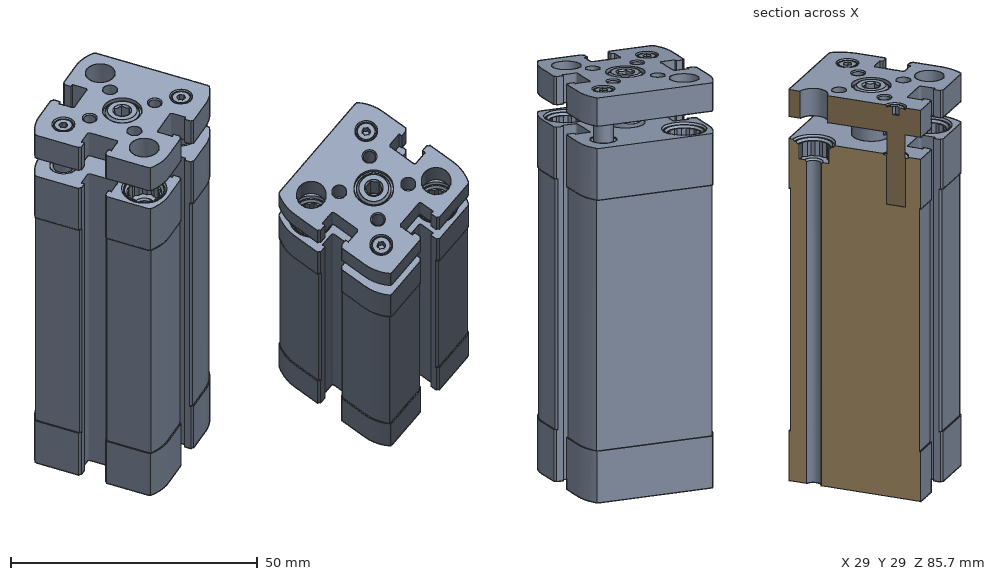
import cadquery as cq
import math


total_height = 85.7
cap_half_width = 14.5
yoke_thickness = 6.0
yoke_gap = 4.7
cap_height = 11.0
barrel_inset = 0.25
housing_height = total_height - yoke_thickness - yoke_gap
yoke_bottom = housing_height + yoke_gap

flank_half_length = 9.0
corner_bevel_start = 12.3
corner_bevel_width = 0.5
corner_bevel_depth = 0.13

slot_half_opening = 2.65
slot_half_undercut = 3.3
slot_floor = 9.25
slot_neck = 12.6
slot_mouth_radius = 0.4
slot_floor_radius = 0.4
slot_angles = [0, 90, -90]

rod_diameter = 8.0
rod_across_flats = 7.0
rod_flat_length = 3.7
rod_flat_runout = 0.25
rod_spigot_diameter = 7.0
rod_spigot_chamfer = 0.5
rod_groove_depth = 0.85
rod_socket_across_flats = 3.0
rod_socket_depth = 6.0
rod_socket_mouth_diameter = 3.8
rod_socket_turn = 0
drill_half_angle = math.radians(59)
rod_insertion = cap_height

corner_spacing = 9.0
guide_corners = [(corner_spacing, corner_spacing), (-corner_spacing, -corner_spacing)]
screw_corners = [(-corner_spacing, corner_spacing), (corner_spacing, -corner_spacing)]
pin_diameter = 4.1
pin_mouth_diameter = 4.6
pin_tip_diameter = 3.6
pin_end_sink = 0.2
pin_socket_turn = 15
pin_socket_across_flats = 1.5
pin_socket_depth = 1.7
pin_recess_diameter = 5.5
pin_recess_depth = 0.25

access_hole_diameter = 6.0
mount_hole_spacing = 5.0
dowel_hole_diameter = 3.0
threaded_hole_diameter = 2.5
threaded_hole_mouth_diameter = 3.0
dowel_holes = [(-mount_hole_spacing, mount_hole_spacing), (mount_hole_spacing, -mount_hole_spacing)]
threaded_holes = [(mount_hole_spacing, mount_hole_spacing), (-mount_hole_spacing, -mount_hole_spacing)]

pocket_mouth_diameter = 9.2
pocket_rim_diameter = 8.5
pocket_rim_depth = 0.4
socket_mouth_diameter = 8.0
socket_throat_diameter = 7.0
socket_across_flats = 6.0
socket_turns = [0, 30]
pocket_depth = 4.1
screw_hole_diameter = 3.25
screw_hole_mouth_diameter = 4.0


def disc(x, y, bottom, diameter, height):
    """Vertical cylinder."""
    return cq.Workplane("XY", origin=(x, y, bottom)).circle(diameter / 2).extrude(height)


def cone(x, y, top, top_diameter, bottom_diameter, depth):
    """Vertical cone or frustum, placed by its top."""
    solid = cq.Solid.makeCone(bottom_diameter / 2, top_diameter / 2, depth, pnt=cq.Vector(x, y, top - depth))
    return cq.Workplane(obj=solid)


def hex_socket(x, y, top, across_flats, depth, turn):
    """Hexagonal prism below its top, turned about its axis."""
    corner_diameter = across_flats / math.cos(math.pi / 6)
    prism = cq.Workplane("XY").polygon(6, corner_diameter).extrude(-depth)
    return prism.rotate((0, 0, 0), (0, 0, 1), turn).translate((x, y, top))


def outline_block(half_width, bottom, height):
    """Prism of the cross-section outline before the slots are cut."""
    flat = corner_bevel_start
    side = corner_bevel_start + corner_bevel_width
    shoulder = half_width - corner_bevel_depth
    run = half_width - side
    rise = shoulder - flank_half_length
    radius = (run**2 + rise**2) / (2 * run)
    outline = (
        cq.Workplane("XY", origin=(0, 0, bottom))
        .moveTo(-flat, half_width)
        .lineTo(flat, half_width)
        .lineTo(side, shoulder)
        .radiusArc((half_width, flank_half_length), radius)
        .lineTo(half_width, -flank_half_length)
        .radiusArc((side, -shoulder), radius)
        .lineTo(flat, -half_width)
        .lineTo(-flat, -half_width)
        .lineTo(-side, -shoulder)
        .radiusArc((-half_width, -flank_half_length), radius)
        .lineTo(-half_width, flank_half_length)
        .radiusArc((-side, shoulder), radius)
        .close()
    )
    return outline.extrude(height)


def slot_cutter(half_width, bottom, height):
    """T-slot open towards -Y, with a rounded mouth and rounded floor corners."""
    mouth = slot_half_opening + slot_mouth_radius
    neck_start = half_width - slot_mouth_radius
    floor_end = slot_half_undercut - slot_floor_radius
    corner = slot_floor + slot_floor_radius
    profile = (
        cq.Workplane("XY", origin=(0, 0, bottom))
        .moveTo(-mouth, -half_width)
        .radiusArc((-slot_half_opening, -neck_start), slot_mouth_radius)
        .lineTo(-slot_half_opening, -slot_neck)
        .lineTo(-slot_half_undercut, -slot_neck)
        .lineTo(-slot_half_undercut, -corner)
        .radiusArc((-floor_end, -slot_floor), slot_floor_radius)
        .lineTo(floor_end, -slot_floor)
        .radiusArc((slot_half_undercut, -corner), slot_floor_radius)
        .lineTo(slot_half_undercut, -slot_neck)
        .lineTo(slot_half_opening, -slot_neck)
        .lineTo(slot_half_opening, -neck_start)
        .radiusArc((mouth, -half_width), slot_mouth_radius)
        .close()
    )
    return profile.extrude(height)


def slotted_block(half_width, bottom, height):
    """Length of the slotted profile."""
    block = outline_block(half_width, bottom, height)
    cutter = slot_cutter(half_width, bottom, height)
    for angle in slot_angles:
        block = block.cut(cutter.rotate((0, 0, 0), (0, 0, 1), angle))
    return block


def cut_screw_pocket(housing, x, y):
    """Countersunk pocket with a twelve-point socket and a screw hole through to the base."""
    rim = housing_height - pocket_rim_depth
    floor = housing_height - pocket_depth
    throat_chamfer = (socket_mouth_diameter - socket_throat_diameter) / 2
    hole_chamfer = (screw_hole_mouth_diameter - screw_hole_diameter) / 2
    cutters = [
        cone(x, y, housing_height, pocket_mouth_diameter, pocket_rim_diameter, pocket_rim_depth),
        cone(x, y, rim, socket_mouth_diameter, socket_throat_diameter, throat_chamfer),
        cone(x, y, floor, screw_hole_mouth_diameter, screw_hole_diameter, hole_chamfer),
        disc(x, y, 0, screw_hole_diameter, housing_height),
    ]
    for turn in socket_turns:
        cutters.append(hex_socket(x, y, housing_height, socket_across_flats, pocket_depth, turn))
    for cutter in cutters:
        housing = housing.cut(cutter)
    return housing


def make_housing():
    """Barrel between two slightly wider end caps."""
    housing = slotted_block(cap_half_width, 0, cap_height)
    barrel_height = housing_height - 2 * cap_height
    housing = housing.union(slotted_block(cap_half_width - barrel_inset, cap_height, barrel_height))
    housing = housing.union(slotted_block(cap_half_width, housing_height - cap_height, cap_height))

    bore_bottom = housing_height - rod_insertion
    housing = housing.cut(disc(0, 0, bore_bottom, rod_diameter, rod_insertion))
    for x, y in guide_corners:
        housing = housing.cut(disc(x, y, bore_bottom, pin_diameter, rod_insertion))
        recess_bottom = housing_height - pin_recess_depth
        housing = housing.cut(disc(x, y, recess_bottom, pin_recess_diameter, pin_recess_depth))
    for x, y in screw_corners:
        housing = cut_screw_pocket(housing, x, y)
    return housing


def make_yoke():
    """Plate with access holes at two corners and four mounting holes."""
    yoke = slotted_block(cap_half_width, yoke_bottom, yoke_thickness)
    for x, y in screw_corners:
        yoke = yoke.cut(disc(x, y, yoke_bottom, access_hole_diameter, yoke_thickness))
    for x, y in dowel_holes:
        yoke = yoke.cut(disc(x, y, yoke_bottom, dowel_hole_diameter, yoke_thickness))
    chamfer = (threaded_hole_mouth_diameter - threaded_hole_diameter) / 2
    for x, y in threaded_holes:
        mouth = cone(
            x, y, total_height, threaded_hole_mouth_diameter, threaded_hole_diameter, chamfer
        )
        yoke = yoke.cut(disc(x, y, yoke_bottom, threaded_hole_diameter, yoke_thickness))
        yoke = yoke.cut(mouth)
    return yoke


def make_rod():
    """Piston rod below the yoke, with wrench flats facing -Y and +Y that run out on a slope."""
    rod = disc(0, 0, housing_height - rod_insertion, rod_diameter, rod_insertion + yoke_gap)
    half_flats = rod_across_flats / 2
    radius = rod_diameter / 2
    flat_bottom = yoke_bottom - rod_flat_length
    cutter = (
        cq.Workplane("YZ")
        .moveTo(half_flats, yoke_bottom)
        .lineTo(half_flats, flat_bottom)
        .lineTo(radius, flat_bottom - rod_flat_runout)
        .lineTo(radius, yoke_bottom)
        .close()
        .extrude(radius, both=True)
    )
    return rod.cut(cutter).cut(cutter.mirror("XZ"))


def cut_rod_end(body):
    """Groove around the chamfered rod spigot, and the hexagonal socket in its middle."""
    floor = total_height - rod_groove_depth
    spigot = disc(0, 0, floor, rod_spigot_diameter, rod_groove_depth)
    spigot = spigot.faces(">Z").chamfer(rod_spigot_chamfer)
    groove = disc(0, 0, floor, rod_diameter, rod_groove_depth).cut(spigot)
    chamfer = (rod_socket_mouth_diameter - rod_socket_across_flats) / 2
    body = body.cut(groove)
    body = body.cut(
        hex_socket(0, 0, total_height, rod_socket_across_flats, rod_socket_depth, rod_socket_turn)
    )
    body = body.cut(
        cone(0, 0, total_height, rod_socket_mouth_diameter, rod_socket_across_flats, chamfer)
    )
    drill_depth = rod_socket_across_flats / 2 / math.tan(drill_half_angle)
    socket_floor = total_height - rod_socket_depth
    return body.cut(cone(0, 0, socket_floor, rod_socket_across_flats, 0, drill_depth))


def cut_pin_end(body, x, y):
    """Chamfered pin end, slightly sunk in a countersink, with a small hexagonal socket."""
    tip_top = total_height - pin_end_sink
    chamfer = (pin_diameter - pin_tip_diameter) / 2
    tip = cone(x, y, tip_top, pin_tip_diameter, pin_diameter, chamfer)
    around_tip = disc(x, y, tip_top - chamfer, pin_diameter, pin_end_sink + chamfer).cut(tip)
    mouth_depth = (pin_mouth_diameter - pin_diameter) / 2
    mouth = cone(x, y, total_height, pin_mouth_diameter, pin_diameter, mouth_depth)
    body = body.cut(mouth.cut(tip)).cut(around_tip)
    return body.cut(hex_socket(x, y, tip_top, pin_socket_across_flats, pin_socket_depth, pin_socket_turn))


def make_slide():
    """Yoke plate, piston rod and guide pins moving as one body."""
    slide = make_yoke().union(make_rod())
    for x, y in guide_corners:
        slide = slide.union(
            disc(x, y, housing_height - rod_insertion, pin_diameter, rod_insertion + yoke_gap)
        )
        slide = cut_pin_end(slide, x, y)
    return cut_rod_end(slide)


housing = make_housing()
slide = make_slide()
result = cq.Compound.makeCompound([housing.val(), slide.val()])